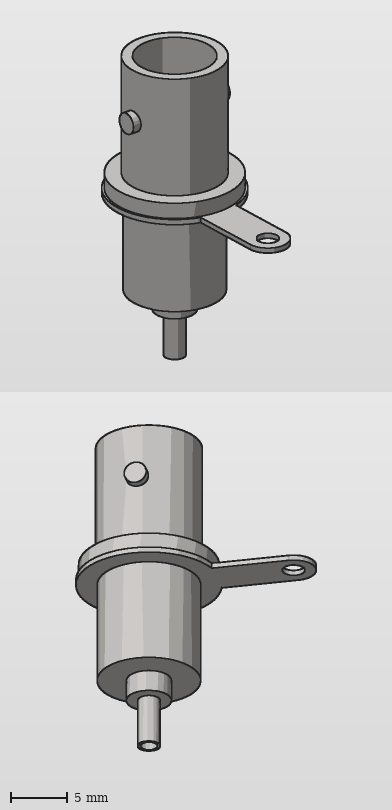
import cadquery as cq

neck_bottom = 4.5
barrel_bottom = 6.5
tag_bottom = 16.0
tag_thickness = 0.5
flange_top = 18.0
total_height = 29.5
bayonet_height = 24.48

tail_diameter = 2.0
neck_diameter = 4.0
barrel_diameter = 9.2
flange_diameter = 12.5
shell_diameter = 9.5

socket_diameter = 7.5
contact_hole_diameter = 1.5
socket_floor = flange_top

post_diameter = neck_diameter
post_top = bayonet_height

lug_diameter = 2.0
lug_span = 11.0

washer_diameter = 12.98
tag_width = 4.0
tag_reach = 15.15
tag_hole_diameter = 2.0


def cylinder(diameter, bottom, top):
    """Upright cylinder on the connector axis."""
    return cq.Workplane("XY").workplane(offset=bottom).circle(diameter / 2).extrude(top - bottom)


def turned_body():
    """Stepped outside of the connector, from tail to shell."""
    body = cylinder(tail_diameter, 0, neck_bottom)
    body = body.union(cylinder(neck_diameter, neck_bottom, barrel_bottom))
    body = body.union(cylinder(barrel_diameter, barrel_bottom, tag_bottom))
    body = body.union(cylinder(flange_diameter, tag_bottom, flange_top))
    return body.union(cylinder(shell_diameter, flange_top, total_height))


def bayonet_lugs():
    """One pin across the shell, leaving a lug on each side."""
    return (
        cq.Workplane("XZ")
        .center(0, bayonet_height)
        .circle(lug_diameter / 2)
        .extrude(lug_span / 2, both=True)
    )


def solder_tag():
    """Washer under the flange with a round-ended, drilled tongue."""
    tag_end_x = tag_reach - tag_width / 2
    plane = cq.Workplane("XY").workplane(offset=tag_bottom)
    tongue = plane.center(tag_end_x / 2, 0).rect(tag_end_x, tag_width).extrude(tag_thickness)
    tongue_end = plane.center(tag_end_x, 0).circle(tag_width / 2).extrude(tag_thickness)
    tag_hole = plane.center(tag_end_x, 0).circle(tag_hole_diameter / 2).extrude(tag_thickness)
    washer = cylinder(washer_diameter, tag_bottom, tag_bottom + tag_thickness)
    return washer.union(tongue).union(tongue_end).cut(tag_hole)


result = turned_body().union(bayonet_lugs()).union(solder_tag())
result = result.cut(cylinder(socket_diameter, socket_floor, total_height))
result = result.union(cylinder(post_diameter, socket_floor, post_top))
result = result.cut(cylinder(contact_hole_diameter, 0, total_height))